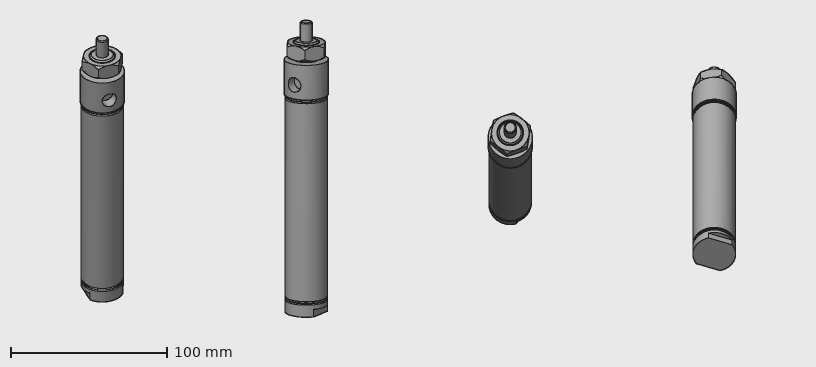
import cadquery as cq
import math

total_height = 193.5
flat_top_z = 5.0
rear_groove_bottom_z = 8.1
rear_groove_top_z = 10.5
front_groove_bottom_z = 142.6
head_bottom_z = 145.2
head_top_z = 168.4
nut_bottom_z = 170.3
nut_height = 9.7
stud_top_z = 181.0

tube_radius = 13.7
head_diameter = 28.5
head_radius = head_diameter / 2
groove_radius = 13.0
wrench_flat_distance = 22.3
stud_radius = 8.0
stud_chamfer = 1.0

port_radius = 4.8
port_depth = 7.7
port_z = 154.6

rod_radius = 3.9
rod_chamfer = 0.68
rod_seat_depth = 9.7

nut_across_flats = 24.0
nut_corner_radius = nut_across_flats / math.sqrt(3)
nut_face_radius = nut_across_flats / 2
nut_chamfer_angle = 45.0
nut_bore_chamfer = 0.5
hex_turn_angle = 30.0


def cylinder(radius, bottom_z, top_z):
    """Solid cylinder on the Z axis between two heights."""
    return cq.Workplane("XY", origin=(0, 0, bottom_z)).circle(radius).extrude(top_z - bottom_z)


def double_vee_groove(bottom_z, top_z):
    """Ring cutter for two V-grooves that leave a sharp ridge between them."""
    vee_width = (top_z - bottom_z) / 2
    profile = cq.Workplane("XZ")
    for vee_bottom_z in (bottom_z, bottom_z + vee_width):
        profile = profile.polyline([
            (tube_radius, vee_bottom_z),
            (groove_radius, vee_bottom_z + vee_width / 2),
            (tube_radius, vee_bottom_z + vee_width),
        ]).close()
    return profile.revolve(360, (0, 0, 0), (0, 1, 0))


def make_body():
    """Tube with its rear cover, head and mounting stud."""
    tube = cylinder(tube_radius, 0, head_bottom_z)
    head = cylinder(head_radius, head_bottom_z, head_top_z)
    stud = cylinder(stud_radius, head_top_z, stud_top_z).faces(">Z").chamfer(stud_chamfer)
    body = tube.union(head).union(stud)

    body = body.cut(double_vee_groove(rear_groove_bottom_z, rear_groove_top_z))
    body = body.cut(double_vee_groove(front_groove_bottom_z, head_bottom_z))

    rear_end = cylinder(tube_radius, 0, flat_top_z)
    flat_core = cq.Workplane("XY").rect(2 * tube_radius, wrench_flat_distance).extrude(flat_top_z)
    body = body.cut(rear_end.cut(flat_core))

    port = (
        cq.Workplane("YZ", origin=(head_radius - port_depth, 0, port_z))
        .circle(port_radius)
        .extrude(port_depth)
    )
    body = body.cut(port)

    return body.cut(cylinder(rod_radius, stud_top_z - rod_seat_depth, stud_top_z))


def make_rod():
    """Piston rod with a chamfered tip."""
    rod = cylinder(rod_radius, stud_top_z - rod_seat_depth, total_height)
    return rod.faces(">Z").chamfer(rod_chamfer)


def make_nut():
    """Hexagon nut with corners on the Y axis, chamfered on both faces."""
    blank = (
        cq.Workplane("XY", origin=(0, 0, nut_bottom_z))
        .polygon(6, 2 * nut_corner_radius)
        .extrude(nut_height)
        .rotate((0, 0, 0), (0, 0, 1), hex_turn_angle)
    )
    corner_run = nut_corner_radius - nut_face_radius
    corner_drop = corner_run * math.tan(math.radians(nut_chamfer_angle))
    envelope = (
        cylinder(nut_corner_radius, nut_bottom_z, nut_bottom_z + nut_height)
        .faces("<Z or >Z")
        .chamfer(corner_drop, corner_run)
    )
    bore = cylinder(stud_radius, nut_bottom_z, nut_bottom_z + nut_height)
    nut = blank.intersect(envelope).cut(bore)
    bore_edges = nut.faces("<Z or >Z").edges(cq.selectors.RadiusNthSelector(0))
    return bore_edges.chamfer(nut_bore_chamfer)


body = make_body()
rod = make_rod()
nut = make_nut()

result = cq.Compound.makeCompound([body.val(), rod.val(), nut.val()])